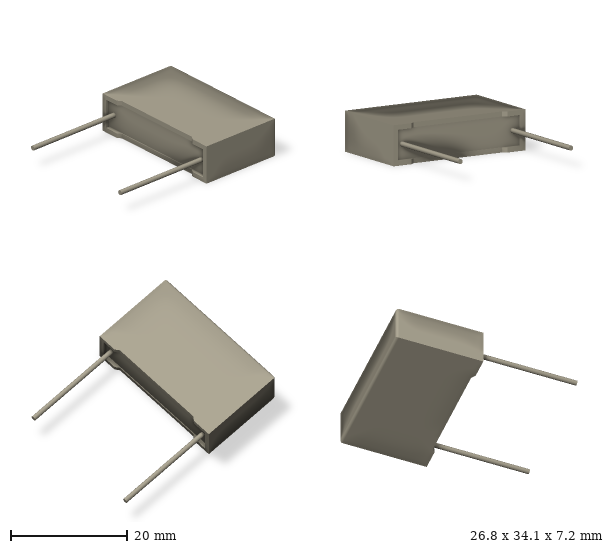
import cadquery as cq

case_width = 26.8
case_depth = 16.05
case_height = 7.2
wall = 0.9
back_edge_radius = 0.5

notch_depth = 0.55
notch_slope_run = 0.75
notch_end_land = 3.65

fill_recess = 0.7
fill_width = case_width - 2 * wall
fill_height = case_height - 2 * wall
fill_depth = case_depth - wall - fill_recess

overall_depth = 34.1
lead_diameter = 0.9
lead_spacing = 22.5
lead_length = overall_depth - case_depth + fill_recess


def centered_block(width, depth, height, front):
    """Block centered on X and Z whose front face is at Y = front."""
    block = cq.Workplane("XY").box(width, depth, height, centered=(True, False, True))
    return block.translate((0, front, 0))


def make_rim_notch():
    """Trapezoidal cutter that lowers the middle of the rim through the full height."""
    mouth = case_width / 2 - notch_end_land
    floor = mouth - notch_slope_run
    outline = [(-mouth, 0), (mouth, 0), (floor, notch_depth), (-floor, notch_depth)]
    return cq.Workplane("XY").polyline(outline).close().extrude(case_height / 2, both=True)


def make_fill():
    return centered_block(fill_width, fill_depth, fill_height, fill_recess)


def make_housing():
    outer = centered_block(case_width, case_depth, case_height, 0)
    outer = outer.faces(">Y").edges().fillet(back_edge_radius)
    cavity = centered_block(fill_width, case_depth - wall, fill_height, 0)
    return outer.cut(cavity).cut(make_rim_notch())


def make_lead(x):
    """Lead running towards -Y from the front face of the fill."""
    lead = cq.Workplane("XZ").circle(lead_diameter / 2).extrude(lead_length)
    return lead.translate((x, fill_recess, 0))


housing = make_housing()
fill = make_fill()
leads = [make_lead(side * lead_spacing / 2) for side in (-1, 1)]

result = cq.Compound.makeCompound([housing.val(), fill.val(), *[lead.val() for lead in leads]])